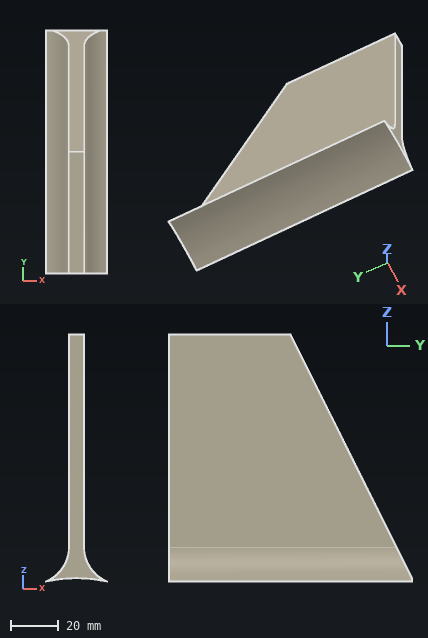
import cadquery as cq
import math

height = 103.2
length = 101.6
top_length = length / 2
foot_width = 25.6
web_thickness = 6.4
flare_radius = 15.5
underside_radius = 60.0

half_foot = foot_width / 2
half_web = web_thickness / 2
half_length = length / 2
flare_center_x = half_web + flare_radius
flare_top_z = math.sqrt(flare_radius**2 - (flare_center_x - half_foot)**2)
underside_rise = underside_radius - math.sqrt(underside_radius**2 - half_foot**2)


def flare_midpoint(side):
    """Point halfway along the flare arc; side is +1 or -1 along X."""
    end_angle = math.atan2(flare_top_z, flare_center_x - half_foot)
    x = flare_center_x - flare_radius * math.cos(end_angle / 2)
    z = flare_top_z - flare_radius * math.sin(end_angle / 2)
    return (side * x, z)


def make_section_bar():
    """Web with a flared foot and a hollow underside, extruded along Y."""
    return (
        cq.Workplane("XZ")
        .moveTo(-half_foot, 0)
        .threePointArc((0, underside_rise), (half_foot, 0))
        .threePointArc(flare_midpoint(1), (half_web, flare_top_z))
        .lineTo(half_web, height)
        .lineTo(-half_web, height)
        .lineTo(-half_web, flare_top_z)
        .threePointArc(flare_midpoint(-1), (-half_foot, 0))
        .close()
        .extrude(half_length, both=True)
    )


def make_side_profile():
    """Side outline whose +Y edge slopes from the underside crown to the top."""
    return (
        cq.Workplane("YZ")
        .moveTo(-half_length, 0)
        .lineTo(half_length, 0)
        .lineTo(half_length, underside_rise)
        .lineTo(top_length - half_length, height)
        .lineTo(-half_length, height)
        .close()
        .extrude(half_foot, both=True)
    )


result = make_section_bar().intersect(make_side_profile())